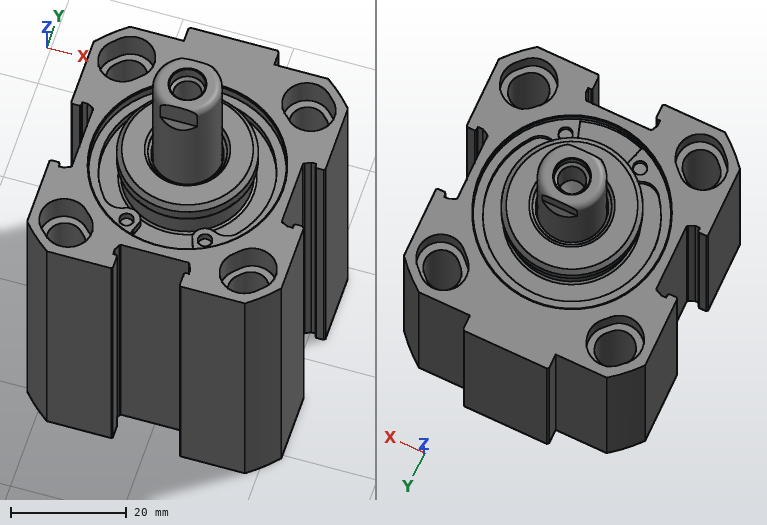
import cadquery as cq
import math

TOTAL_HEIGHT = 80.5

HOUSING_WIDTH = 46.0
HOUSING_DEPTH = 48.1
HOUSING_HEIGHT = 54.6
CORNER_ROUND_DIAMETER = 60.0
PAD_WIDTH = 16.35
PAD_HEIGHT = 2.9
PAD_CHAMFER = 0.3

SLOT_WIDTH = 12.1
SIDE_LIP = 1.85
FRONT_LIP = 2.9
LIP_CHAMFER = 0.25
SLOT_GROOVE_DEPTH = 2.2
SLOT_GROOVE_FLAT = 0.9
SLOT_UNDERCUT = 0.8
SLOT_FLOOR_UNDERCUT = 0.3
SLOT_FLOOR_CHAMFER = 0.25

HOLE_PITCH_X = 32.9
HOLE_PITCH_Y = 35.1
HOLE_DIAMETER = 6.3
HOLE_STRETCH = 1.0
COUNTERBORE_DIAMETER = 8.5
COUNTERBORE_STRETCH = 1.5
COUNTERBORE_DEPTH = 5.6

BORE_DIAMETER = 34.1
BORE_MOUTH_DIAMETER = 34.5

RING_OUTER_DIAMETER = 35.8
RING_INNER_DIAMETER = 30.75
RING_THICKNESS = 1.5
RING_TOP_DEPTH = 2.0
LUG_X = 7.1
LUG_Y = -12.55
LUG_RADIUS = 2.4
LUG_HOLE_DIAMETER = 2.5
LUG_FILLET = 3.2
GAP_INNER_HALF_WIDTH = 4.0
GAP_INNER_Y = -10.1
GAP_OUTER_HALF_WIDTH = 6.5

GLAND_FLANGE_THICKNESS = 9.7
NECK_DIAMETER = 23.0
NECK_FOOT_DIAMETER = 24.0
NECK_FOOT_HEIGHT = 0.25
COLLAR_DIAMETER = 24.5
COLLAR_TOP = 59.6
COLLAR_CHAMFER = 0.9
COLLAR_BAND_HEIGHT = 2.1
COLLAR_TAPER_HEIGHT = 1.3
GLAND_MOUTH_DIAMETER = 14.8
GLAND_MOUTH_CHAMFER = 0.6
SEAL_SEAT_DIAMETER = GLAND_MOUTH_DIAMETER - 2 * GLAND_MOUTH_CHAMFER
SEAL_SEAT_DEPTH = 0.8
SEAL_LIP_DIAMETER = 12.55
SEAL_LIP_DEPTH = 4.8

ROD_DIAMETER = 12.0
ROD_TIP_FILLET = 1.3
FLAT_WIDTH = 10.0
FLAT_LENGTH = 4.5
ROD_HOLE_DIAMETER = 4.9
ROD_HOLE_DEPTH = 12.9
ROD_RECESS_DIAMETER = 6.3
ROD_RECESS_DEPTH = 2.4
ROD_MOUTH_CHAMFER = 0.2
DRILL_POINT_ANGLE = 118.0

RING_TOP = HOUSING_HEIGHT - RING_TOP_DEPTH
FLANGE_TOP = RING_TOP - RING_THICKNESS
GLAND_BOTTOM = FLANGE_TOP - GLAND_FLANGE_THICKNESS


def disc(diameter, bottom, top):
    """Solid cylinder on the Z axis between two levels."""
    return cq.Workplane("XY").workplane(offset=bottom).circle(diameter / 2).extrude(top - bottom)


def turned(points):
    """Solid of revolution about Z from (radius, height) points."""
    return cq.Workplane("XZ").polyline(points).close().revolve(360, (0, 0), (0, 1))


def sensor_slot(face_distance, lip_height, turn):
    """Undercut slot opening at the given distance from the axis, turned about Z from -Y."""
    half = SLOT_WIDTH / 2
    lip = -face_distance + lip_height
    floor = lip + SLOT_GROOVE_DEPTH
    side = [
        (half + LIP_CHAMFER, -face_distance),
        (half, -face_distance + LIP_CHAMFER),
        (half, lip - LIP_CHAMFER),
        (half + LIP_CHAMFER, lip),
        (half + SLOT_UNDERCUT, lip),
        (half + SLOT_UNDERCUT, lip + SLOT_GROOVE_FLAT),
        (half + SLOT_FLOOR_UNDERCUT, floor - SLOT_FLOOR_CHAMFER),
        (half + SLOT_FLOOR_UNDERCUT - SLOT_FLOOR_CHAMFER, floor),
    ]
    mirrored = [(-x, y) for x, y in reversed(side)]
    slot = cq.Workplane("XY").polyline(side + mirrored).close().extrude(HOUSING_HEIGHT)
    return slot.rotate((0, 0, 0), (0, 0, 1), turn)


def corner_slots(diameter, stretch, bottom):
    """Four stretched holes at the mounting corners, reaching the housing top."""
    cutters = cq.Workplane("XY")
    for x_side in (-1, 1):
        for y_side in (-1, 1):
            cutters = cutters.add(
                cq.Workplane("XY")
                .workplane(offset=bottom)
                .center(x_side * HOLE_PITCH_X / 2, y_side * HOLE_PITCH_Y / 2)
                .slot2D(diameter + stretch, diameter, -45 * x_side * y_side)
                .extrude(HOUSING_HEIGHT - bottom)
            )
    return cutters.combine()


def make_housing():
    body = cq.Workplane("XY").rect(HOUSING_WIDTH, HOUSING_DEPTH).extrude(HOUSING_HEIGHT)
    body = body.intersect(disc(CORNER_ROUND_DIAMETER, 0, HOUSING_HEIGHT))

    pad_length = HOUSING_DEPTH / 2 + PAD_HEIGHT
    pad = (
        cq.Workplane("XY")
        .center(0, pad_length / 2)
        .rect(PAD_WIDTH, pad_length)
        .extrude(HOUSING_HEIGHT)
        .edges("|Z and >Y")
        .chamfer(PAD_CHAMFER)
    )
    body = body.union(pad)

    body = body.cut(sensor_slot(HOUSING_DEPTH / 2, FRONT_LIP, 0))
    for turn in (-90, 90):
        body = body.cut(sensor_slot(HOUSING_WIDTH / 2, SIDE_LIP, turn))

    body = body.cut(corner_slots(HOLE_DIAMETER, HOLE_STRETCH, 0))
    counterbore_floor = HOUSING_HEIGHT - COUNTERBORE_DEPTH
    body = body.cut(corner_slots(COUNTERBORE_DIAMETER, COUNTERBORE_STRETCH, counterbore_floor))

    mouth_chamfer = (BORE_MOUTH_DIAMETER - BORE_DIAMETER) / 2
    bore = disc(BORE_DIAMETER, GLAND_BOTTOM, HOUSING_HEIGHT)
    mouth = turned([
        (0, HOUSING_HEIGHT - mouth_chamfer),
        (BORE_DIAMETER / 2, HOUSING_HEIGHT - mouth_chamfer),
        (BORE_MOUTH_DIAMETER / 2, HOUSING_HEIGHT),
        (0, HOUSING_HEIGHT),
    ])
    groove = disc(RING_OUTER_DIAMETER, FLANGE_TOP, RING_TOP)
    return body.cut(bore).cut(mouth).cut(groove)


def make_gland():
    neck = NECK_DIAMETER / 2
    foot = NECK_FOOT_DIAMETER / 2
    seat = SEAL_SEAT_DIAMETER / 2
    lip = SEAL_LIP_DIAMETER / 2
    lip_floor = COLLAR_TOP - SEAL_LIP_DEPTH
    collar = COLLAR_DIAMETER / 2
    band_top = COLLAR_TOP - COLLAR_CHAMFER
    band_bottom = band_top - COLLAR_BAND_HEIGHT
    seat_floor = COLLAR_TOP - SEAL_SEAT_DEPTH
    return turned([
        (ROD_DIAMETER / 2, GLAND_BOTTOM),
        (BORE_DIAMETER / 2, GLAND_BOTTOM),
        (BORE_DIAMETER / 2, FLANGE_TOP),
        (foot, FLANGE_TOP),
        (neck, FLANGE_TOP + NECK_FOOT_HEIGHT),
        (neck, band_bottom - COLLAR_TAPER_HEIGHT),
        (collar, band_bottom),
        (collar, band_top),
        (collar - COLLAR_CHAMFER, COLLAR_TOP),
        (GLAND_MOUTH_DIAMETER / 2, COLLAR_TOP),
        (seat, COLLAR_TOP - GLAND_MOUTH_CHAMFER),
        (seat, seat_floor),
        (lip, seat_floor - (seat - lip)),
        (lip, lip_floor),
        (ROD_DIAMETER / 2, lip_floor),
    ])


def make_retaining_ring():
    lug_places = [(-LUG_X, LUG_Y), (LUG_X, LUG_Y)]
    plane = cq.Workplane("XY").workplane(offset=FLANGE_TOP)
    band = plane.circle(RING_OUTER_DIAMETER / 2).circle(RING_INNER_DIAMETER / 2).extrude(RING_THICKNESS)
    lugs = plane.pushPoints(lug_places).circle(LUG_RADIUS).extrude(RING_THICKNESS)
    ring = band.union(lugs)

    flanks = cq.selectors.BoxSelector(
        (-RING_INNER_DIAMETER / 2, LUG_Y - LUG_RADIUS, FLANGE_TOP),
        (-LUG_X, 0, RING_TOP),
    ) + cq.selectors.BoxSelector(
        (LUG_X, LUG_Y - LUG_RADIUS, FLANGE_TOP),
        (RING_INNER_DIAMETER / 2, 0, RING_TOP),
    )
    ring = ring.edges("|Z").edges(flanks).fillet(LUG_FILLET)

    gap_outer_y = -RING_OUTER_DIAMETER / 2
    gap = plane.polyline([
        (-GAP_INNER_HALF_WIDTH, GAP_INNER_Y),
        (GAP_INNER_HALF_WIDTH, GAP_INNER_Y),
        (GAP_OUTER_HALF_WIDTH, gap_outer_y),
        (-GAP_OUTER_HALF_WIDTH, gap_outer_y),
    ]).close().extrude(RING_THICKNESS)
    holes = plane.pushPoints(lug_places).circle(LUG_HOLE_DIAMETER / 2).extrude(RING_THICKNESS)
    return ring.cut(gap).cut(holes)


def make_rod():
    rod = disc(ROD_DIAMETER, GLAND_BOTTOM, TOTAL_HEIGHT).faces(">Z").edges().fillet(ROD_TIP_FILLET)

    flat = FLAT_WIDTH / 2
    flat_bottom = TOTAL_HEIGHT - FLAT_LENGTH
    radius = ROD_DIAMETER / 2
    for side in (-1, 1):
        cutter = (
            cq.Workplane("YZ")
            .polyline([
                (side * flat, TOTAL_HEIGHT),
                (side * flat, flat_bottom),
                (side * radius, flat_bottom - (radius - flat)),
                (side * radius, TOTAL_HEIGHT),
            ])
            .close()
            .extrude(radius, both=True)
        )
        rod = rod.cut(cutter)

    recess = ROD_RECESS_DIAMETER / 2
    hole = ROD_HOLE_DIAMETER / 2
    recess_floor = TOTAL_HEIGHT - ROD_RECESS_DEPTH
    hole_bottom = TOTAL_HEIGHT - ROD_HOLE_DEPTH
    point_slope = math.tan(math.radians(DRILL_POINT_ANGLE / 2))
    drilled = turned([
        (0, TOTAL_HEIGHT),
        (recess + ROD_MOUTH_CHAMFER, TOTAL_HEIGHT),
        (recess, TOTAL_HEIGHT - ROD_MOUTH_CHAMFER),
        (recess, recess_floor),
        (hole, recess_floor - (recess - hole) / point_slope),
        (hole, hole_bottom),
        (0, hole_bottom - hole / point_slope),
    ])
    return rod.cut(drilled)


housing = make_housing()
gland = make_gland()
retaining_ring = make_retaining_ring()
rod = make_rod()

result = cq.Compound.makeCompound([housing.val(), gland.val(), retaining_ring.val(), rod.val()])